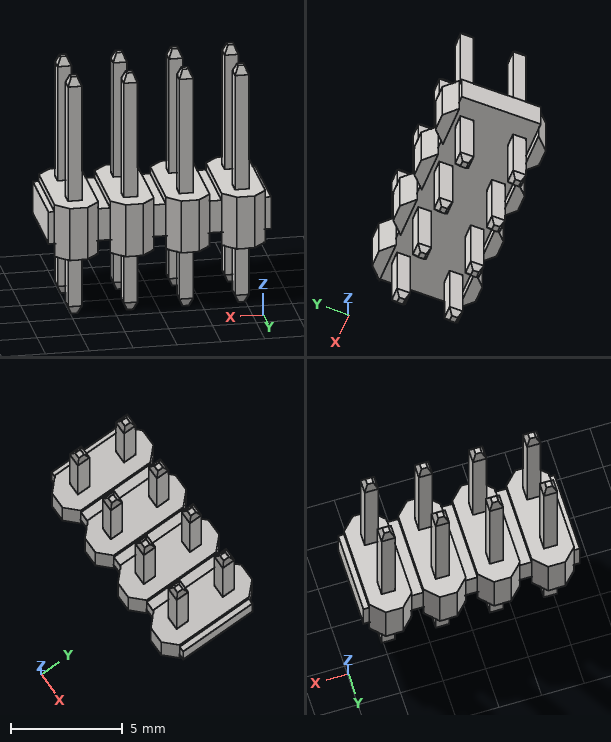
import cadquery as cq

columns = 4
rows = 2
length = 10.16
pitch = length / columns

pin_length = 11.4
pin_width = 0.64
tip_width = 0.28
tip_height = 0.41

block_bottom = 3.0
block_height = 2.5
block_width = 2.0
block_depth = 5.0
block_chamfer = 0.59

web_depth = block_depth - 2 * block_chamfer
web_top_step = 0.33
channel_height = 0.63
web_bottom = block_bottom + channel_height
web_height = block_height - web_top_step - channel_height


def upright_box(size_x, size_y, height, bottom):
    """Box centred in X and Y, standing on the given bottom level."""
    return (
        cq.Workplane("XY")
        .workplane(offset=bottom)
        .rect(size_x, size_y)
        .extrude(height)
    )


def make_block():
    """Block with chamfered vertical corners."""
    block = upright_box(block_width, block_depth, block_height, block_bottom)
    return block.edges("|Z").chamfer(block_chamfer)


def make_tip(base_level, end_level):
    """Truncated pyramid narrowing from the shank to the pin end."""
    return (
        cq.Workplane("XY")
        .workplane(offset=base_level)
        .rect(pin_width, pin_width)
        .workplane(offset=end_level - base_level)
        .rect(tip_width, tip_width)
        .loft(ruled=True)
    )


def make_pin():
    """Straight square shank with a tapered tip at each end."""
    upper_base = pin_length - tip_height
    shank = upright_box(pin_width, pin_width, upper_base - tip_height, tip_height)
    lower_tip = make_tip(tip_height, 0)
    upper_tip = make_tip(upper_base, pin_length)
    return shank.union(lower_tip).union(upper_tip)


def centred_positions(count):
    """Pitch-spaced coordinates, symmetric about zero."""
    return [(index - (count - 1) / 2) * pitch for index in range(count)]


insulator = upright_box(length, web_depth, web_height, web_bottom)
block = make_block()
for x in centred_positions(columns):
    insulator = insulator.union(block.translate((x, 0, 0)))
insulator = insulator.cut(upright_box(length, web_depth, channel_height, block_bottom))

result = insulator
pin = make_pin()
for x in centred_positions(columns):
    for y in centred_positions(rows):
        result = result.union(pin.translate((x, y, 0)))